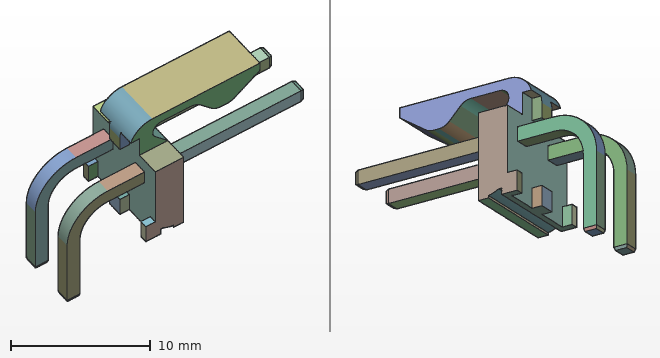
import cadquery as cq
import math


wall_width = 7.77
wall_depth = 2.49
wall_height = 6.9

tab_reach = 0.83
tab_height = 1.6
corner_tab_width = 0.62
center_tab_width = 1.3

groove_front = 0.5
groove_flat_end = 0.72
groove_back = 1.62
groove_deep = 0.5
groove_shallow = 0.19
groove_bulge = 0.06

latch_width = 3.81
latch_top = 10.05
arm_thickness = 0.79
arm_tip = 10.55
bend_outer_radius = 1.97
bend_inner_radius = 0.75
ear_bottom = 8.64
tooth_bottom = 7.55
tooth_outer_end = 8.01
tooth_inner_end = 6.65
tooth_root = 4.95
tooth_blend = 1.25

pin_pitch = 3.95
pin_side = 1.14
pin_top = 5.7
pin_back = 13.94
pin_front = -6.77
pin_bottom = -3.93
pin_outer_radius = 3.56
tip_length = 0.25
tip_inset = 0.08


def block(x_center, width, y_min, y_max, z_min, z_max):
    """Box given by its X center and width and its Y and Z limits."""
    return cq.Workplane("XY").box(width, y_max - y_min, z_max - z_min).translate(
        (x_center, (y_min + y_max) / 2, (z_min + z_max) / 2)
    )


def make_wall():
    wall = block(0, wall_width, 0, wall_depth, 0, wall_height)
    corner_x = (wall_width - corner_tab_width) / 2
    tabs = [(-corner_x, corner_tab_width), (0, center_tab_width), (corner_x, corner_tab_width)]
    for x, width in tabs:
        wall = wall.union(block(x, width, -tab_reach, 0, 0, tab_height))
    groove_mid = (
        (groove_flat_end + groove_back) / 2 + groove_bulge,
        (groove_deep + groove_shallow) / 2 - groove_bulge,
    )
    groove = (
        cq.Workplane("YZ")
        .moveTo(groove_front, 0)
        .lineTo(groove_front, groove_deep)
        .lineTo(groove_flat_end, groove_deep)
        .threePointArc(groove_mid, (groove_back, groove_shallow))
        .lineTo(groove_back, 0)
        .close()
        .extrude(wall_width / 2, both=True)
    )
    return wall.cut(groove)


def make_latch():
    arm_bottom = latch_top - arm_thickness
    diagonal = math.sqrt(0.5)

    bend_z = arm_bottom - bend_inner_radius
    ramp_end_z = bend_z - bend_inner_radius * diagonal
    ramp_end_y = wall_depth - (ramp_end_z - wall_height)
    bend_y = ramp_end_y + bend_inner_radius * diagonal
    outer_y = bend_outer_radius - tab_reach
    outer_z = latch_top - bend_outer_radius

    latch = (
        cq.Workplane("YZ")
        .moveTo(-tab_reach, wall_height)
        .lineTo(-tab_reach, outer_z)
        .threePointArc(
            (outer_y - bend_outer_radius * diagonal, outer_z + bend_outer_radius * diagonal),
            (outer_y, latch_top),
        )
        .lineTo(arm_tip, latch_top)
        .lineTo(arm_tip, arm_bottom)
        .lineTo(tooth_outer_end, tooth_bottom)
        .lineTo(tooth_inner_end, tooth_bottom)
        .lineTo(tooth_root, arm_bottom)
        .lineTo(bend_y, arm_bottom)
        .threePointArc((bend_y - bend_inner_radius, bend_z), (ramp_end_y, ramp_end_z))
        .lineTo(wall_depth, wall_height)
        .close()
        .extrude(latch_width / 2, both=True)
    )
    tooth_corners = [
        (tooth_outer_end, tooth_bottom),
        (tooth_inner_end, tooth_bottom),
        (tooth_root, arm_bottom),
    ]
    for y, z in tooth_corners:
        latch = latch.edges(cq.selectors.NearestToPointSelector((0, y, z))).fillet(tooth_blend)

    relief_width = (latch_width - center_tab_width) / 2
    relief_x = (center_tab_width + relief_width) / 2
    for x in (-relief_x, relief_x):
        latch = latch.cut(block(x, relief_width, -tab_reach, 0, wall_height, ear_bottom))
    return latch


def tapered_tip(plane):
    """Square tip narrowing along the normal of the plane."""
    end_side = pin_side - 2 * tip_inset
    return (
        cq.Workplane(plane)
        .rect(pin_side, pin_side)
        .workplane(offset=tip_length)
        .rect(end_side, end_side)
        .loft(ruled=True)
    )


def make_pin(x):
    center_radius = pin_outer_radius - pin_side / 2
    center_z = pin_top - pin_side / 2
    center_y = pin_front + pin_side / 2
    back_start = pin_back - tip_length
    lower_end = pin_bottom + tip_length
    path = (
        cq.Workplane("YZ", origin=(x, 0, 0))
        .moveTo(back_start, center_z)
        .lineTo(center_y + center_radius, center_z)
        .radiusArc((center_y, center_z - center_radius), -center_radius)
        .lineTo(center_y, lower_end)
    )
    back_plane = cq.Plane(origin=(x, back_start, center_z), xDir=(1, 0, 0), normal=(0, 1, 0))
    lower_plane = cq.Plane(origin=(x, center_y, lower_end), xDir=(1, 0, 0), normal=(0, 0, -1))
    shank = cq.Workplane(back_plane).rect(pin_side, pin_side).sweep(path)
    return shank.union(tapered_tip(back_plane)).union(tapered_tip(lower_plane))


result = make_wall().union(make_latch())
for pin_x in (-pin_pitch / 2, pin_pitch / 2):
    result = result.union(make_pin(pin_x))